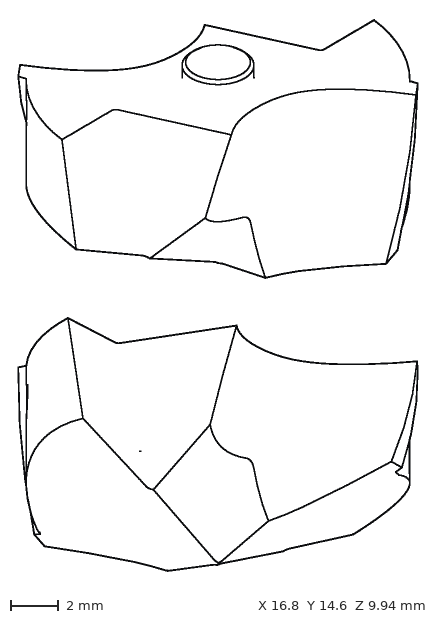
import cadquery as cq
import math

tip_radius = 8.4
land_radius = 8.06
body_height = 9.07
helix_angle = 30.0
twist = math.degrees(body_height * math.tan(math.radians(helix_angle)) / tip_radius)
span = 4 * tip_radius
overshoot = 0.17

lip_angle = 14.3
margin_angle = 20.5
margin_ramp_angle = 1.3
flute_points = [(4.97, 1.26), (3.25, 0.13), (2.27, -1.56), (2.05, -2.64), (2.17, -3.78)]
flute_exit_x = 2.52

pocket_wall_y = 3.78
pocket_corner_x = 3.15
heel_slope_y = 0.364
heel_slope_z = 0.2
pocket_fillet = 0.2

flank_slope_x = 0.357
primary_slope_y = 0.1
secondary_slope_y = 0.39

gash_floor_slope_x = 1.04
gash_floor_slope_y = -0.96
gash_wall_slope_x = -0.53
gash_wall_slope_z = -0.147
gash_fillet = 0.34

pin_radius = 1.51
pin_height = 0.87
pin_chamfer = 0.15
pin_root_fillet = 0.13


def polar(radius, angle):
    turn = math.radians(angle)
    return (radius * math.cos(turn), radius * math.sin(turn))


def opposite(point):
    return (-point[0], -point[1])


def half_turn(shape):
    return shape.rotate((0, 0, 0), (0, 0, 1), 180)


def half_space(normal):
    """Large block with one face through the origin, filling the side the normal points to."""
    plane = cq.Plane(origin=(0, 0, 0), normal=normal)
    return cq.Workplane(plane).rect(span, span).extrude(span)


def twisted_body():
    lip = polar(tip_radius, lip_angle)
    margin_end = polar(tip_radius, margin_angle)
    land_start_angle = margin_angle + margin_ramp_angle
    flute_exit = (flute_exit_x, -math.sqrt(land_radius**2 - flute_exit_x**2))
    land_end = opposite(flute_exit)
    land_end_angle = math.degrees(math.atan2(land_end[1], land_end[0]))

    profile = cq.Workplane("XY").moveTo(*lip)
    for place in (lambda point: point, opposite):
        margin_middle = polar(tip_radius, (lip_angle + margin_angle) / 2)
        land_middle = polar(land_radius, (land_start_angle + land_end_angle) / 2)
        flute = [opposite(point) for point in reversed(flute_points)] + [opposite(lip)]
        profile = (
            profile.threePointArc(place(margin_middle), place(margin_end))
            .lineTo(*place(polar(land_radius, land_start_angle)))
            .threePointArc(place(land_middle), place(land_end))
            .lineTo(*place(flute[0]))
            .spline([place(point) for point in flute[1:]], includeCurrent=True)
        )
    body = profile.close().twistExtrude(body_height, twist)
    return body.rotate((0, 0, 0), (0, 0, 1), -twist)


def pocket_cutter():
    """Space between the straight side wall and the leaning heel face."""
    def section(z):
        corner_x = -pocket_corner_x + heel_slope_z * (body_height - z)
        reach = 2 * tip_radius
        return [
            (corner_x, -pocket_wall_y),
            (reach, -pocket_wall_y),
            (reach, -reach),
            (corner_x - heel_slope_y * (reach - pocket_wall_y), -reach),
        ]

    top = body_height + overshoot
    bottom = -overshoot
    cutter = (
        cq.Workplane("XY", origin=(0, 0, bottom)).polyline(section(bottom)).close()
        .workplane(offset=top - bottom).polyline(section(top)).close()
        .loft(ruled=True)
    )
    corner_x = -pocket_corner_x + heel_slope_z * body_height / 2
    corner = cq.selectors.NearestToPointSelector((corner_x, -pocket_wall_y, body_height / 2))
    return cutter.edges(corner).fillet(pocket_fillet)


def gash_cutter():
    below_floor = half_space((gash_floor_slope_x, gash_floor_slope_y, -1))
    beside_wall = half_space((gash_wall_slope_x, -1, gash_wall_slope_z))
    gash = below_floor.intersect(beside_wall)
    floor = cq.Vector(gash_floor_slope_x, gash_floor_slope_y, -1)
    wall = cq.Vector(gash_wall_slope_x, -1, gash_wall_slope_z)
    root = cq.selectors.ParallelDirSelector(floor.cross(wall))
    nearest = cq.selectors.NearestToPointSelector((0, 0, 0))
    return gash.edges(root).edges(nearest).fillet(gash_fillet)


def pin():
    post = cq.Workplane("XY", origin=(0, 0, body_height)).circle(pin_radius).extrude(pin_height)
    return post.faces(">Z").edges().chamfer(pin_chamfer)


def pin_root():
    outer = pin_radius + pin_root_fillet
    bend = pin_root_fillet * (1 - math.sqrt(0.5))
    return (
        cq.Workplane("XZ").moveTo(0, body_height).lineTo(outer, body_height)
        .threePointArc((pin_radius + bend, body_height + bend), (pin_radius, body_height + pin_root_fillet))
        .lineTo(0, body_height + pin_root_fillet).close()
        .revolve(360, (0, 0), (0, 1))
    )


tip = twisted_body()

pocket = pocket_cutter()
tip = tip.cut(pocket).cut(half_turn(pocket))

for slope_y in (primary_slope_y, secondary_slope_y):
    below_flank = half_space((flank_slope_x, slope_y, -1))
    tip = tip.cut(below_flank).cut(half_turn(below_flank))

gash = gash_cutter()
tip = tip.cut(gash).cut(half_turn(gash))

result = tip.union(pin()).union(pin_root())